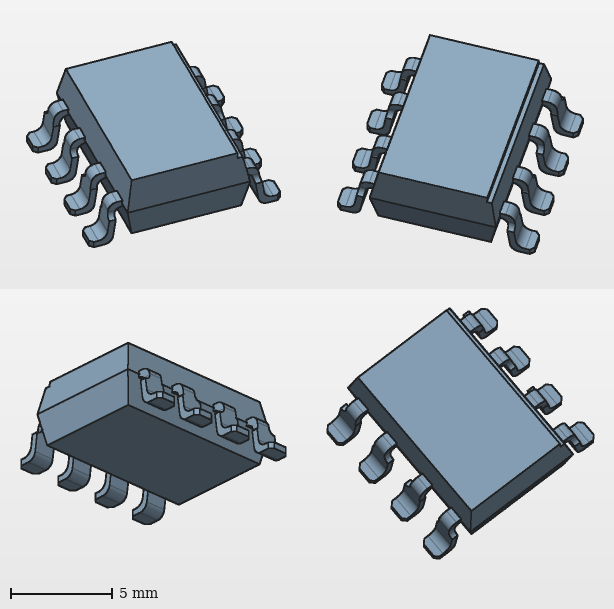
import cadquery as cq
import math

body_length = 9.68
body_width = 6.52
body_draft_inset = 0.35
standoff = 0.35
overall_height = 3.85
half_height = (overall_height - standoff) / 2
parting_z = standoff + half_height

step_depth = 0.28
step_wall_y = 2.71

lead_span = 10.16
lead_pitch = 2.54
leads_per_row = 4
lead_thickness = 0.35
lead_top_z = parting_z + lead_thickness / 2
leg_tilt = math.radians(8)
bend_radius = 0.49
leg_corner_y = 3.95
lead_root_y = 2.9
tip_chamfer = 0.2

foot_half_width = 0.6
neck_wide_step = 0.335
neck_narrow_step = 0.07
shoulder_z = 1.45


def make_body():
    """Drafted body with a step along its +Y top edge."""
    top_length = body_length - 2 * body_draft_inset
    top_width = body_width - 2 * body_draft_inset

    def drafted_half(height):
        return (
            cq.Workplane("XY", origin=(0, 0, parting_z))
            .rect(body_length, body_width)
            .workplane(offset=height)
            .rect(top_length, top_width)
            .loft(ruled=True)
        )

    step = cq.Workplane("XY").box(
        body_length, body_width, step_depth, centered=(True, False, False)
    ).translate((0, step_wall_y, overall_height - step_depth))
    return drafted_half(half_height).union(drafted_half(-half_height)).cut(step)


def make_bent_strip():
    """Full-width lead strip, bent in the YZ plane toward +Y."""
    lead_bottom_z = lead_top_z - lead_thickness
    tip_y = lead_span / 2
    leg_thickness_y = lead_thickness / math.cos(leg_tilt)

    def leg_outer_y(z):
        return leg_corner_y + (lead_top_z - z) * math.tan(leg_tilt)

    strip = (
        cq.Workplane("YZ", origin=(-foot_half_width, 0, 0))
        .moveTo(lead_root_y, lead_top_z)
        .lineTo(leg_corner_y, lead_top_z)
        .lineTo(leg_outer_y(lead_thickness), lead_thickness)
        .lineTo(tip_y, lead_thickness)
        .lineTo(tip_y, 0)
        .lineTo(leg_outer_y(0) - leg_thickness_y, 0)
        .lineTo(leg_outer_y(lead_bottom_z) - leg_thickness_y, lead_bottom_z)
        .lineTo(lead_root_y, lead_bottom_z)
        .close()
        .extrude(2 * foot_half_width)
    )
    lead_middle_y = (lead_root_y + tip_y) / 2
    bend_reach = (tip_y - lead_root_y) / 2 - lead_thickness
    bend_zone = cq.selectors.BoxSelector(
        (-lead_span, lead_middle_y - bend_reach, -lead_span),
        (lead_span, lead_middle_y + bend_reach, lead_span),
    )
    strip = strip.edges("|X").edges(bend_zone).fillet(bend_radius)
    return strip.faces(">Y").edges("|Z").chamfer(tip_chamfer)


def make_lead():
    """Lead on the +Y side with its neck shifted toward +X."""
    neck_left = -foot_half_width + neck_wide_step
    neck_right = foot_half_width - neck_narrow_step
    arc_mid = 1 - math.sqrt(0.5)
    outline = (
        cq.Workplane("XZ")
        .moveTo(-foot_half_width, 0)
        .lineTo(foot_half_width, 0)
        .lineTo(foot_half_width, shoulder_z)
        .threePointArc(
            (neck_right + arc_mid * neck_narrow_step, shoulder_z + arc_mid * neck_narrow_step),
            (neck_right, shoulder_z + neck_narrow_step),
        )
        .lineTo(neck_right, lead_top_z)
        .lineTo(neck_left, lead_top_z)
        .lineTo(neck_left, shoulder_z + neck_wide_step)
        .threePointArc(
            (neck_left - arc_mid * neck_wide_step, shoulder_z + arc_mid * neck_wide_step),
            (-foot_half_width, shoulder_z),
        )
        .close()
        .extrude(-lead_span)
    )
    return make_bent_strip().intersect(outline)


body = make_body()

right_neck_lead = make_lead()
left_neck_lead = right_neck_lead.mirror("YZ")
leads = []
for index in range(leads_per_row):
    lead_x = (index - (leads_per_row - 1) / 2) * lead_pitch
    lead = right_neck_lead if index % 2 == 0 else left_neck_lead
    back_lead = lead.translate((lead_x, 0, 0)).cut(body)
    leads.append(back_lead)
    leads.append(back_lead.mirror("XZ"))

result = cq.Compound.makeCompound([body.val(), *[lead.val() for lead in leads]])